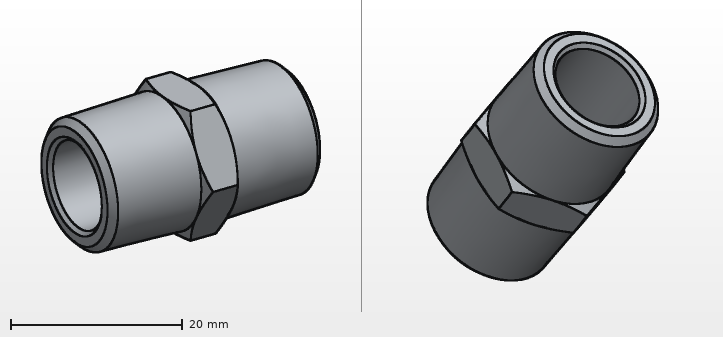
import cadquery as cq
import math

length = 29.4
hex_corners = 19.65
hex_width = 5.0
root_diameter = 17.0
tip_diameter = 16.35
face_diameter = 14.55
tip_chamfer_length = 0.9
bore_diameter = 11.0
bore_mouth_diameter = 12.05
hex_chamfer_angle = 30.0

half_length = length / 2
half_hex = hex_width / 2
tip_start = half_length - tip_chamfer_length
bore_chamfer = (bore_mouth_diameter - bore_diameter) / 2
corner_drop = (hex_corners - root_diameter) / 2 * math.tan(math.radians(hex_chamfer_angle))


def revolve_about_y(points):
    """Revolve a closed (radius, y) outline about the Y axis."""
    return cq.Workplane("XY").polyline(points).close().revolve(360, (0, 0, 0), (0, 1, 0))


def mirrored_profile(half_points):
    """Outline from an upper half listed outward from the axis, mirrored about y = 0."""
    lower = [(radius, -y) for radius, y in half_points]
    return half_points + lower[::-1]


def make_ends():
    """Both tapered ends with chamfered tips, meeting inside the hexagon."""
    return revolve_about_y(mirrored_profile([
        (0, half_length),
        (face_diameter / 2, half_length),
        (tip_diameter / 2, tip_start),
        (root_diameter / 2, half_hex),
    ]))


def make_hexagon():
    """Central hexagon, corners on X, with both end faces chamfered conically."""
    prism = cq.Workplane("XZ").polygon(6, hex_corners).extrude(half_hex, both=True)
    chamfer_cone = revolve_about_y(mirrored_profile([
        (0, half_hex),
        (root_diameter / 2, half_hex),
        (hex_corners / 2, half_hex - corner_drop),
    ]))
    return prism.intersect(chamfer_cone)


def make_bore():
    """Through bore with a 45 degree chamfer at each mouth."""
    return revolve_about_y(mirrored_profile([
        (0, half_length),
        (bore_mouth_diameter / 2, half_length),
        (bore_diameter / 2, half_length - bore_chamfer),
    ]))


result = make_ends().union(make_hexagon()).cut(make_bore())